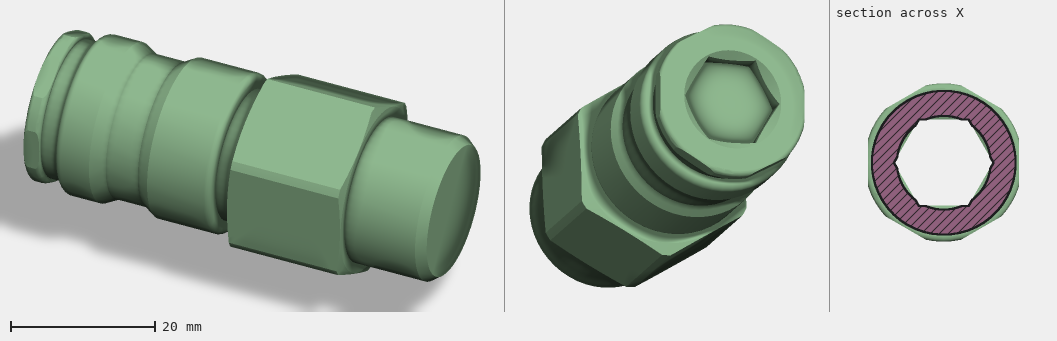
import cadquery as cq
import math

half_sector = 30.0

flange_end = 2.5
sleeve_start = 5.1
groove_taper_start = 10.4
groove_start = 12.45
groove_end = 17.3
groove_taper_end = 19.2
sleeve_end = 28.6
hex_start = 31.4
hex_end = 48.5
tail_chamfer_start = 59.15
tail_end = 60.5

flange_dia = 21.95
front_neck_dia = 20.0
rear_neck_dia = 18.95
tail_dia = 21.0
flange_fillet = 0.7
flange_flat_width = 21.0

sleeve_dia = 23.2
groove_dia = 20.95
sleeve_front_fillet = 1.1
sleeve_rear_fillet = 0.9

hex_width = 24.0
hex_corner_dia = 27.05
hex_turn = 2.7
hex_face_dia = 23.85
hex_chamfer_length = 0.4

socket_width = 11.9
socket_depth = 3.3
countersink_dia = 14.15
relief_half_angle = 60.0


def revolve(points):
    """Solid of revolution about X from an (x, radius) outline."""
    return cq.Workplane("XY").polyline(points).close().revolve(360, (0, 0, 0), (1, 0, 0))


def cylinder(start, end, diameter):
    return cq.Workplane("YZ").workplane(offset=start).circle(diameter / 2).extrude(end - start)


def hex_prism(start, end, width):
    """Hexagon along X with corners on Y and flats facing Z."""
    corner_dia = width / math.cos(math.radians(half_sector))
    return cq.Workplane("YZ").workplane(offset=start).polygon(6, corner_dia).extrude(end - start)


def make_flange():
    """Rounded front collar with six short flats, two of them facing Y."""
    disc = cylinder(0, flange_end, flange_dia).edges().fillet(flange_fillet)
    flats = hex_prism(0, flange_end, flange_flat_width).rotate((0, 0, 0), (1, 0, 0), half_sector)
    return disc.intersect(flats)


def make_wrench_hexagon():
    """Hexagon with turned corners and a shallow chamfer on both ends."""
    face_radius = hex_face_dia / 2
    corner_radius = hex_corner_dia / 2
    envelope = revolve([
        (hex_start, 0),
        (hex_start, face_radius),
        (hex_start + hex_chamfer_length, corner_radius),
        (hex_end - hex_chamfer_length, corner_radius),
        (hex_end, face_radius),
        (hex_end, 0),
    ])
    prism = hex_prism(hex_start, hex_end, hex_width).rotate((0, 0, 0), (1, 0, 0), half_sector - hex_turn)
    return prism.intersect(envelope)


def make_socket():
    """Blind hexagon with a 45 degree countersink and a conical relief at its floor."""
    flat_radius = socket_width / 2
    corner_radius = flat_radius / math.cos(math.radians(half_sector))
    countersink_radius = countersink_dia / 2
    countersink_depth = countersink_radius - flat_radius
    relief_length = (corner_radius - flat_radius) / math.tan(math.radians(relief_half_angle))
    countersink = revolve([
        (0, 0),
        (0, countersink_radius),
        (countersink_depth, flat_radius),
        (countersink_depth, 0),
    ])
    relief = revolve([
        (socket_depth, 0),
        (socket_depth, corner_radius),
        (socket_depth - relief_length, flat_radius),
        (socket_depth - relief_length, 0),
    ])
    return hex_prism(0, socket_depth, socket_width).union(countersink).union(relief)


def make_core():
    """Main body: front flange, necks, wrench hexagon and chamfered tail."""
    front_neck = cylinder(flange_end, sleeve_start, front_neck_dia)
    rear_neck = cylinder(sleeve_start, hex_start, rear_neck_dia)
    tail = revolve([
        (hex_end, 0),
        (hex_end, tail_dia / 2),
        (tail_chamfer_start, tail_dia / 2),
        (tail_end, rear_neck_dia / 2),
        (tail_end, 0),
    ])
    body = make_flange().union(front_neck).union(rear_neck).union(make_wrench_hexagon()).union(tail)
    return body.cut(make_socket())


def make_sleeve():
    """Grip sleeve with a waist, seated against the shoulder behind the front neck."""
    outer_radius = sleeve_dia / 2
    groove_radius = groove_dia / 2
    blank = revolve([
        (sleeve_start, 0),
        (sleeve_start, outer_radius),
        (groove_taper_start, outer_radius),
        (groove_start, groove_radius),
        (groove_end, groove_radius),
        (groove_taper_end, outer_radius),
        (sleeve_end, outer_radius),
        (sleeve_end, 0),
    ])
    rounded = blank.edges("<X").fillet(sleeve_front_fillet).edges(">X").fillet(sleeve_rear_fillet)
    return rounded.cut(cylinder(sleeve_start, sleeve_end, rear_neck_dia))


core = make_core()
sleeve = make_sleeve()

result = cq.Compound.makeCompound([core.val(), sleeve.val()])